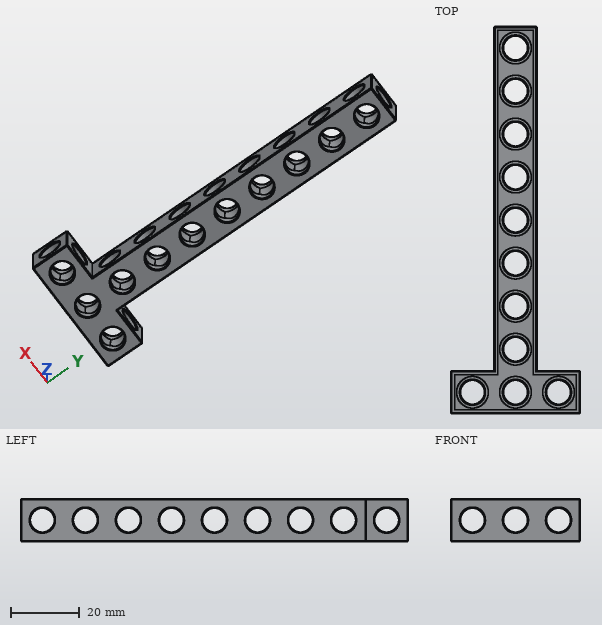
import cadquery as cq

length = 112.5
stem_cells = 9
bar_cells = 3
hole_diameter = 7.0
hole_chamfer = 0.3
edge_chamfer = 0.3
ring_diameter = 9.2
panel_margin = 1.1
panel_depth = 0.17

pitch = length / stem_cells
half_pitch = pitch / 2
bar_length = bar_cells * pitch
panel_floor = pitch - panel_depth
hole_radius = hole_diameter / 2
mouth_radius = hole_radius + hole_chamfer

stem_holes_y = [(cell + 0.5) * pitch for cell in range(stem_cells)]
bar_holes_x = [(cell + 0.5) * pitch - bar_length / 2 for cell in range(bar_cells)]
vertical_centres = [(0, y) for y in stem_holes_y]
vertical_centres += [(x, half_pitch) for x in bar_holes_x if abs(x) > half_pitch]


def chamfered_arm(size_x, size_y):
    """Straight beam with its front face on y = 0 and every edge chamfered."""
    arm = cq.Workplane("XY").box(size_x, size_y, pitch).translate((0, size_y / 2, half_pitch))
    return arm.edges().chamfer(edge_chamfer)


def top_panel():
    """Shallow T-shaped pocket in the top face, leaving a raised ring around each hole."""
    stem_side = half_pitch - panel_margin
    bar_side = bar_length / 2 - panel_margin
    bar_back = pitch - panel_margin
    right_half = [
        (bar_side, panel_margin),
        (bar_side, bar_back),
        (stem_side, bar_back),
        (stem_side, length - panel_margin),
    ]
    left_half = [(-x, y) for x, y in reversed(right_half)]
    floor = cq.Workplane("XY").workplane(offset=panel_floor)
    pocket = floor.polyline(right_half + left_half).close().extrude(panel_depth)
    rings = floor.pushPoints(vertical_centres).circle(ring_diameter / 2).extrude(panel_depth)
    return pocket.cut(rings)


def chamfered_hole(start, direction, depth):
    """Cutter for a through hole with a chamfer at both mouths."""
    near_end = cq.Vector(*start)
    axis = cq.Vector(*direction)
    far_end = near_end + axis * depth
    bore = cq.Solid.makeCylinder(hole_radius, depth, near_end, axis)
    near_mouth = cq.Solid.makeCone(mouth_radius, hole_radius, hole_chamfer, near_end, axis)
    far_mouth = cq.Solid.makeCone(mouth_radius, hole_radius, hole_chamfer, far_end, axis * -1)
    return cq.Workplane(bore.fuse(near_mouth, far_mouth))


bar = chamfered_arm(bar_length, pitch)
stem = chamfered_arm(pitch, length)
beam = bar.union(stem).cut(top_panel())

for x, y in vertical_centres:
    beam = beam.cut(chamfered_hole((x, y, 0), (0, 0, 1), pitch))

for y in stem_holes_y:
    width = bar_length if y < pitch else pitch
    beam = beam.cut(chamfered_hole((-width / 2, y, half_pitch), (1, 0, 0), width))

for x in bar_holes_x:
    depth = length if abs(x) < half_pitch else pitch
    beam = beam.cut(chamfered_hole((x, 0, half_pitch), (0, 1, 0), depth))

result = beam